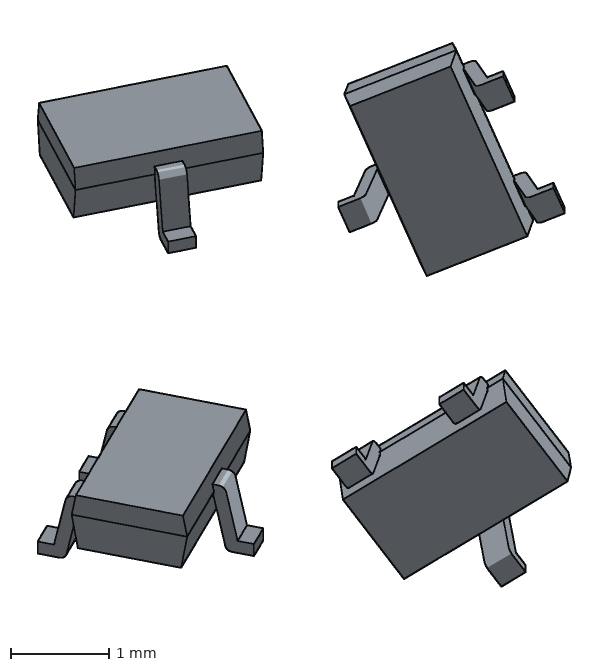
import cadquery as cq
import math

housing_length = 2.01
parting_half_width = 0.62
top_half_width = 0.575
bottom_half_width = 0.555
housing_bottom_z = 0.30
parting_z = 0.70
housing_top_z = 0.95

lead_span = 2.10
lead_thickness = 0.15
lead_width = 0.30
lead_top_z = 0.79
foot_top_length = 0.175
leg_lean = math.radians(12)
shoulder_radius = 0.085
heel_radius = 0.075

lead_row_centre_y = -0.005
lead_half_pitch = 0.66


def make_housing_half(outer_half_width, outer_z):
    """Half of the housing between the parting plane and its outer flat face."""
    return (
        cq.Workplane("XZ")
        .polyline([
            (-parting_half_width, parting_z),
            (parting_half_width, parting_z),
            (outer_half_width, outer_z),
            (-outer_half_width, outer_z),
        ])
        .close()
        .extrude(housing_length / 2, both=True)
    )


def make_left_lead(centre_y):
    """Lead on the -X side, ending flush against the tapered housing walls."""
    tip_x = -lead_span / 2
    instep_x = tip_x + foot_top_length
    leg_width_in_x = lead_thickness / math.cos(leg_lean)
    shoulder_underside_z = lead_top_z - lead_thickness

    def leg_outer_x(z):
        return instep_x + (z - lead_thickness) * math.tan(leg_lean)

    def leg_inner_x(z):
        return leg_outer_x(z) + leg_width_in_x

    heel_x = leg_inner_x(0)
    shoulder_x = leg_outer_x(lead_top_z)
    blank = (
        cq.Workplane("XZ")
        .polyline([
            (tip_x, 0),
            (heel_x, 0),
            (leg_inner_x(shoulder_underside_z), shoulder_underside_z),
            (-bottom_half_width, shoulder_underside_z),
            (-bottom_half_width, lead_top_z),
            (shoulder_x, lead_top_z),
            (instep_x, lead_thickness),
            (tip_x, lead_thickness),
        ])
        .close()
        .extrude(lead_width / 2, both=True)
    )
    rounded = (
        blank
        .edges(cq.NearestToPointSelector((heel_x, 0, 0)))
        .fillet(heel_radius)
        .edges(cq.NearestToPointSelector((shoulder_x, 0, lead_top_z)))
        .fillet(shoulder_radius)
    )
    return rounded.translate((0, centre_y, 0)).cut(upper_housing).cut(lower_housing).solids()


def make_right_lead(centre_y):
    """Lead on the +X side: mirror image of a left lead."""
    return make_left_lead(centre_y).mirror("YZ").solids()


upper_housing = make_housing_half(top_half_width, housing_top_z)
lower_housing = make_housing_half(bottom_half_width, housing_bottom_z)
left_leads = [
    make_left_lead(lead_row_centre_y + side * lead_half_pitch)
    for side in (-1, 1)
]
right_lead = make_right_lead(lead_row_centre_y)

result = cq.Compound.makeCompound([
    upper_housing.solids().val(),
    lower_housing.solids().val(),
    *[lead.val() for lead in left_leads],
    right_lead.val(),
])